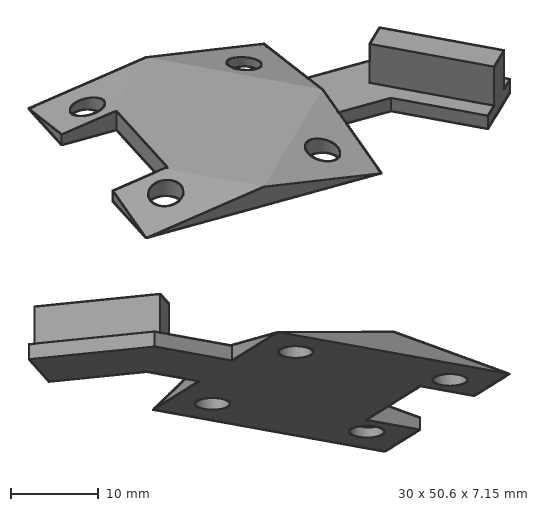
import cadquery as cq
import math

plate_side = 30.0
plate_height = 2.6
half_side = plate_side / 2
hole_diameter = 4.0
hole_spacing = 20.0
notch_width = 13.0
notch_depth = 7.0

total_length = 50.6
total_height = 7.15
arm_width = 8.0
arm_height = 1.8
arm_angle = 45
arm_overlap = 2.0
stem_length = 10.0
rib_width = 3.6

bend_x = -arm_width / 2
bend_y = half_side + stem_length
tip_y = total_length - half_side
arm_length = (tip_y - bend_y) / math.sin(math.radians(arm_angle))


def corner_cutter(side_x, side_y):
    """Wedge removed above the slope from two edge midpoints down to a plate corner."""
    corner = cq.Vector(side_x * half_side, side_y * half_side, 0)
    lifted_corner = corner + cq.Vector(0, 0, plate_height)
    middle_x = cq.Vector(0, side_y * half_side, plate_height)
    middle_y = cq.Vector(side_x * half_side, 0, plate_height)
    triangles = [
        (corner, middle_x, middle_y),
        (lifted_corner, middle_x, middle_y),
        (corner, lifted_corner, middle_x),
        (corner, lifted_corner, middle_y),
    ]
    faces = [cq.Face.makeFromWires(cq.Wire.makePolygon(t, close=True)) for t in triangles]
    return cq.Workplane(cq.Solid.makeSolid(cq.Shell.makeShell(faces)))


def make_plate():
    plate = cq.Workplane().box(plate_side, plate_side, plate_height, centered=(True, True, False))
    for side_x in (-1, 1):
        for side_y in (-1, 1):
            plate = plate.cut(corner_cutter(side_x, side_y))
    notch = cq.Workplane().box(notch_width, 2 * notch_depth, plate_height, centered=(True, True, False))
    plate = plate.cut(notch.translate((0, -half_side, 0)))
    holes = (
        cq.Workplane()
        .rect(hole_spacing, hole_spacing, forConstruction=True)
        .vertices()
        .circle(hole_diameter / 2)
        .extrude(plate_height)
    )
    return plate.cut(holes)


def along_arm(width, height):
    """Bar along the angled arm, centred on its width."""
    bar = cq.Workplane().box(arm_length, width, height, centered=(False, True, False))
    bar = bar.translate((0, -arm_width / 2, 0))
    return bar.rotate((0, 0, 0), (0, 0, 1), arm_angle).translate((bend_x, bend_y, 0))


def make_arm():
    stem = (
        cq.Workplane()
        .moveTo(bend_x, half_side - arm_overlap)
        .lineTo(bend_x + arm_width, half_side - arm_overlap)
        .lineTo(bend_x + arm_width, bend_y - arm_width * math.tan(math.radians(arm_angle / 2)))
        .lineTo(bend_x, bend_y)
        .close()
        .extrude(arm_height)
    )
    rib = along_arm(rib_width, total_height)
    return stem.union(along_arm(arm_width, arm_height)).union(rib)


result = make_plate().union(make_arm())